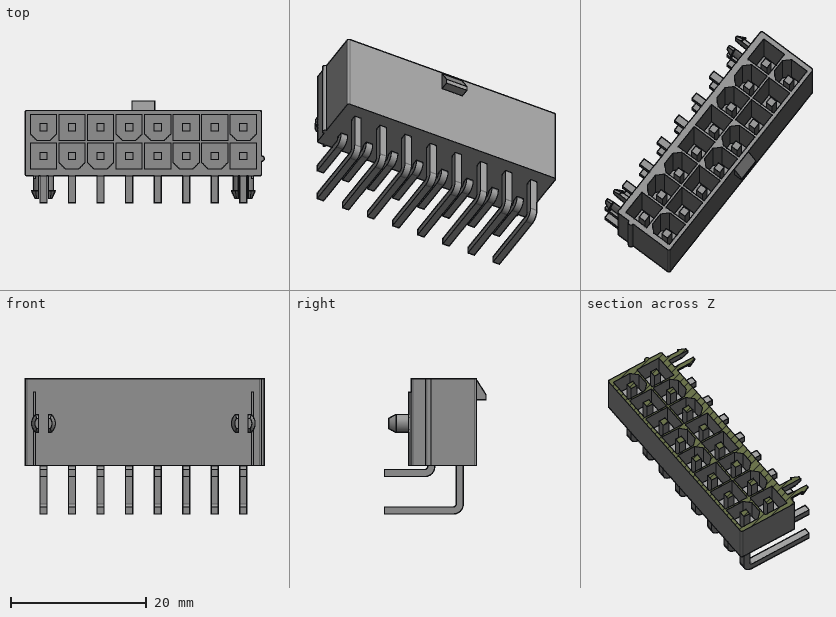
import cadquery as cq


COLUMNS = 8
PITCH = 4.2

END_MARGIN = 2.7
LENGTH = (COLUMNS - 1) * PITCH + 2 * END_MARGIN
DEPTH = 9.65
HEIGHT = 12.8
OVERALL_HEIGHT = 19.93
CORNER_RADIUS = 0.3
REAR_ROW_Y = -2.5
FRONT_ROW_Y = REAR_ROW_Y - PITCH

CAVITY_SIZE = 3.85
CAVITY_CHAMFER = 0.95
CAVITY_DEPTH = 10.0
REAR_KEYED_COLUMNS = (0, 3, 4, 7)
FRONT_KEYED_COLUMNS = (1, 2, 5, 6)

PIN_SIZE = 1.07
PIN_TOP_Z = 9.0
PIN_END_Y = -13.6
REAR_PIN_DROP = OVERALL_HEIGHT - HEIGHT
TAIL_ROW_SPACING = 5.5
FRONT_PIN_DROP = REAR_PIN_DROP - TAIL_ROW_SPACING
BEND_INNER_RADIUS = 0.4
BEND_OUTER_RADIUS = BEND_INNER_RADIUS + PIN_SIZE

LATCH_WIDTH = 3.4
LATCH_REACH = 1.4
LATCH_BOTTOM_Z = 9.65
LATCH_NOSE_Z = 10.4
LATCH_TOP_Z = 12.6

RIB_WIDTH = 0.3
RIB_PROUD = 0.35
RIB_HEIGHT = 10.8
RIB_X = LENGTH / 2 - END_MARGIN / 2

BEAD_RADIUS = 0.4
BEAD_Y = -7.1

PEG_X = LENGTH / 2 - END_MARGIN
PEG_Z = 6.2
PEG_RADIUS = 1.5
PEG_SLOT = 1.43
PEG_HALF_HEIGHT = 1.33
PEG_TIP_HALF_HEIGHT = 0.75
BARB_RADIUS = 1.75
BARB_TIP_RADIUS = 1.25
BARB_START = 11.8
BARB_TAPER_START = 11.9
PEG_END = 12.97


def column_x(column):
    return (column - (COLUMNS - 1) / 2) * PITCH


def make_housing():
    block = cq.Workplane("XY").box(LENGTH, DEPTH, HEIGHT, centered=(True, False, False))
    block = block.translate((0, -DEPTH, 0))
    return block.edges("|Z").fillet(CORNER_RADIUS)


def make_cavity(x, y, keyed):
    cavity = cq.Workplane("XY").box(
        CAVITY_SIZE, CAVITY_SIZE, CAVITY_DEPTH, centered=(True, True, False)
    )
    if keyed:
        cavity = cavity.faces("<Y").edges("|Z").chamfer(CAVITY_CHAMFER)
    return cavity.translate((x, y, HEIGHT - CAVITY_DEPTH))


def make_pin(x, row_y, drop):
    rear_y = row_y + PIN_SIZE / 2
    front_y = row_y - PIN_SIZE / 2
    tail_bottom = -drop
    tail_top = PIN_SIZE - drop
    profile = [
        (rear_y, PIN_TOP_Z),
        (rear_y, tail_bottom),
        (PIN_END_Y, tail_bottom),
        (PIN_END_Y, tail_top),
        (front_y, tail_top),
        (front_y, PIN_TOP_Z),
    ]
    pin = cq.Workplane("YZ").polyline(profile).close().extrude(PIN_SIZE / 2, both=True)
    inner_corner = cq.selectors.NearestToPointSelector((0, front_y, tail_top))
    outer_corner = cq.selectors.NearestToPointSelector((0, rear_y, tail_bottom))
    pin = pin.edges("|X").edges(inner_corner).fillet(BEND_INNER_RADIUS)
    pin = pin.edges("|X").edges(outer_corner).fillet(BEND_OUTER_RADIUS)
    return pin.translate((x, 0, 0))


def make_latch():
    profile = [
        (0, LATCH_BOTTOM_Z),
        (LATCH_REACH, LATCH_BOTTOM_Z),
        (LATCH_REACH, LATCH_NOSE_Z),
        (0, LATCH_TOP_Z),
    ]
    return cq.Workplane("YZ").polyline(profile).close().extrude(LATCH_WIDTH / 2, both=True)


def make_rib(x):
    rib = cq.Workplane("XY").box(RIB_WIDTH, RIB_PROUD, RIB_HEIGHT, centered=(True, False, False))
    return rib.translate((x, -DEPTH - RIB_PROUD, 0))


def make_bead():
    return cq.Workplane("XY").center(LENGTH / 2, BEAD_Y).circle(BEAD_RADIUS).extrude(HEIGHT)


def make_peg(x):
    half_section = [
        (0, -DEPTH),
        (PEG_RADIUS, -DEPTH),
        (PEG_RADIUS, -BARB_START),
        (BARB_RADIUS, -BARB_START),
        (BARB_RADIUS, -BARB_TAPER_START),
        (BARB_TIP_RADIUS, -PEG_END),
        (0, -PEG_END),
    ]
    peg = cq.Workplane("XY").polyline(half_section).close().revolve(360, (0, 0), (0, 1))

    side_outline = [
        (-DEPTH, -PEG_HALF_HEIGHT),
        (-DEPTH, PEG_HALF_HEIGHT),
        (-BARB_TAPER_START, PEG_HALF_HEIGHT),
        (-PEG_END, PEG_TIP_HALF_HEIGHT),
        (-PEG_END, -PEG_TIP_HALF_HEIGHT),
        (-BARB_TAPER_START, -PEG_HALF_HEIGHT),
    ]
    wedge = cq.Workplane("YZ").polyline(side_outline).close().extrude(BARB_RADIUS, both=True)
    peg = peg.intersect(wedge)

    slot_length = PEG_END - DEPTH
    slot = cq.Workplane("XY").box(PEG_SLOT, slot_length, 2 * BARB_RADIUS)
    slot = slot.translate((0, -DEPTH - slot_length / 2, 0))
    return peg.cut(slot).translate((x, 0, PEG_Z))


result = make_housing()

for column in range(COLUMNS):
    x = column_x(column)
    result = result.cut(make_cavity(x, REAR_ROW_Y, column in REAR_KEYED_COLUMNS))
    result = result.cut(make_cavity(x, FRONT_ROW_Y, column in FRONT_KEYED_COLUMNS))

for column in range(COLUMNS):
    x = column_x(column)
    result = result.union(make_pin(x, REAR_ROW_Y, REAR_PIN_DROP))
    result = result.union(make_pin(x, FRONT_ROW_Y, FRONT_PIN_DROP))

result = result.union(make_latch()).union(make_bead())

for side in (-1, 1):
    result = result.union(make_rib(side * RIB_X))
    result = result.union(make_peg(side * PEG_X))